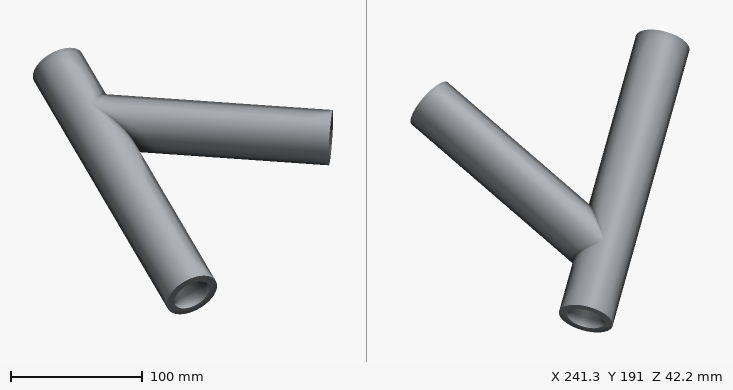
import cadquery as cq
import math

run_length = 241.3
outer_diameter = 42.2
bore_diameter = 29.5
branch_position = 57.0
branch_length = 184.0
branch_angle = math.radians(60)

run_direction = cq.Vector(1, 0, 0)
branch_direction = cq.Vector(math.cos(branch_angle), math.sin(branch_angle), 0)
run_start = cq.Vector(0, 0, 0)
crossing = cq.Vector(branch_position, 0, 0)


def wye(diameter):
    """Run and branch cylinders of one diameter, joined where their axes cross."""
    radius = diameter / 2
    run = cq.Solid.makeCylinder(radius, run_length, run_start, run_direction)
    branch = cq.Solid.makeCylinder(radius, branch_length, crossing, branch_direction)
    return cq.Workplane(run).union(cq.Workplane(branch))


result = wye(outer_diameter).cut(wye(bore_diameter))